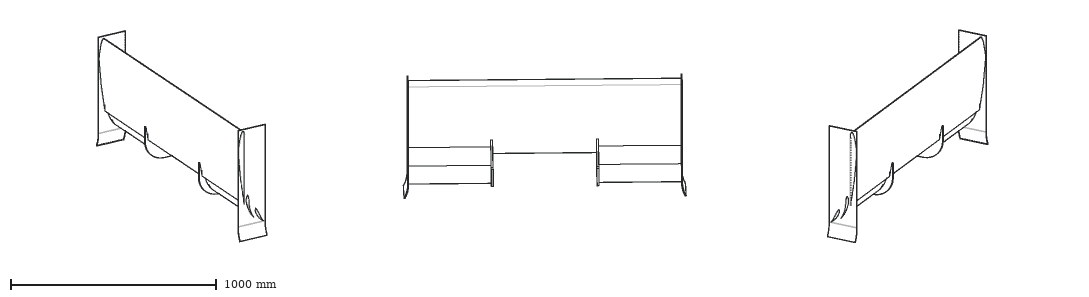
import cadquery as cq
import math

total_width = 1371.0
total_depth = 177.0
total_height = 581.0

plate_depth = 152.0
plate_thickness = 5.0
plate_outer_x = 668.0
curl_height = 70.0
flare = total_width / 2 - plate_outer_x
plate_inner_x = plate_outer_x - plate_thickness

strut_inner_x = 252.0
strut_thickness = 10.0
strut_front_y = 20.0
strut_bottom_z = curl_height
strut_rear_height = 90.0
strut_tip_z = 255.0
strut_corner_radius = 107.0
strut_outer_x = strut_inner_x + strut_thickness

wing_trailing = (35.0, 184.0)
wing_front = [(16.0, 308.0), (5.0, 418.0), (3.0, 480.0), (10.0, 524.0), (16.0, 553.0)]
wing_leading = (26.0, 570.0)
wing_rear = [(35.0, 540.0)]

upper_flap_trailing = (89.0, 104.0)
upper_flap_front = [(67.0, 136.0), (51.0, 178.0), (47.0, 203.0)]
upper_flap_leading = (55.0, 228.0)
upper_flap_rear = [(62.0, 204.0), (63.0, 181.0), (69.0, 150.0)]

lower_flap_trailing = (144.0, 73.0)
lower_flap_front = [(123.0, 90.0), (105.0, 115.0), (99.0, 133.0)]
lower_flap_leading = (100.0, 150.0)
lower_flap_rear = [(112.0, 130.0), (126.0, 101.0)]


def blade(trailing, front, leading, rear, start_x, end_x):
    """Aerofoil section extruded along X."""
    section = cq.Workplane("YZ", origin=(start_x, 0, 0)).moveTo(*trailing)
    section = section.spline(front + [leading], includeCurrent=True)
    if len(rear) == 1:
        section = section.spline(rear, tangents=[(1, 0), (0, -1)], includeCurrent=True).close()
    else:
        section = section.spline(rear + [trailing], includeCurrent=True).close()
    return section.extrude(end_x - start_x)


def end_plate():
    """Right-hand end plate with its lower edge curled out along an arc."""
    curl_angle = 2 * math.atan(flare / curl_height)
    outer_radius = curl_height / math.sin(curl_angle)
    inner_radius = outer_radius + plate_thickness
    drop = inner_radius * math.sin(curl_angle) - curl_height
    centre_x = plate_outer_x + outer_radius
    bend_z = curl_height + drop

    def on_curl(radius, angle):
        return (centre_x - radius * math.cos(angle), bend_z - radius * math.sin(angle))

    return (
        cq.Workplane("XZ")
        .moveTo(plate_inner_x, total_height)
        .lineTo(plate_outer_x, total_height)
        .lineTo(plate_outer_x, bend_z)
        .threePointArc(on_curl(outer_radius, curl_angle / 2), on_curl(outer_radius, curl_angle))
        .lineTo(*on_curl(inner_radius, curl_angle))
        .threePointArc(on_curl(inner_radius, curl_angle / 2), (plate_inner_x, bend_z))
        .close()
        .extrude(-plate_depth)
    )


def strut():
    """Right-hand strut with a large rounded lower front corner."""
    rear_top_z = strut_bottom_z + strut_rear_height
    corner_y = strut_front_y + strut_corner_radius
    corner_z = strut_bottom_z + strut_corner_radius
    reach = strut_corner_radius * math.sqrt(0.5)
    return (
        cq.Workplane("YZ", origin=(strut_inner_x, 0, 0))
        .moveTo(total_depth, strut_bottom_z)
        .lineTo(total_depth, rear_top_z)
        .lineTo(plate_depth, rear_top_z)
        .lineTo(wing_trailing[0], strut_tip_z)
        .lineTo(strut_front_y, strut_tip_z)
        .lineTo(strut_front_y, corner_z)
        .threePointArc((corner_y - reach, corner_z - reach), (corner_y, strut_bottom_z))
        .close()
        .extrude(strut_thickness)
    )


result = blade(wing_trailing, wing_front, wing_leading, wing_rear, -plate_outer_x, plate_outer_x)

upper_flap = blade(
    upper_flap_trailing, upper_flap_front, upper_flap_leading, upper_flap_rear,
    strut_outer_x, plate_outer_x,
)
lower_flap = blade(
    lower_flap_trailing, lower_flap_front, lower_flap_leading, lower_flap_rear,
    strut_outer_x, plate_outer_x,
)
for side_part in (end_plate(), strut(), upper_flap, lower_flap):
    result = result.union(side_part, clean=False).union(side_part.mirror("YZ"), clean=False)